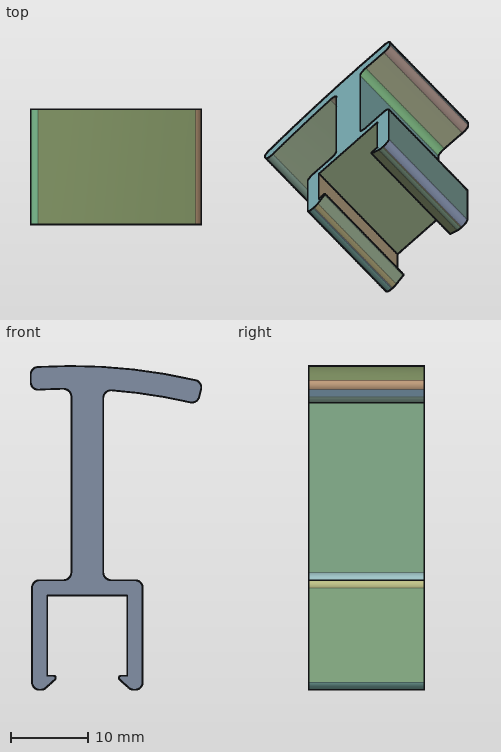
import cadquery as cq
import math

height = 42.0
depth = 15.0
head_left = -7.35
head_right = head_left + 22.12
corner_radius = 1.0

channel_width = 14.35
channel_height = 14.25
wall = 2.0
lip_top = 1.85
lip_reach = 1.55
lip_slope = math.radians(42)
lip_tip_radius = 0.3

stem_width = 4.15
head_thickness = 3.0
head_radius = 71.35
head_apex_x = -2.1

inner_radius = head_radius - head_thickness
head_center_z = height - head_radius


def arc_point(radius, angle):
    """Point on a head arc, with the angle measured from +Z toward +X."""
    return (head_apex_x + radius * math.sin(angle), head_center_z + radius * math.cos(angle))


def extrude(outline):
    """Extrude a closed XZ outline symmetrically about Y = 0."""
    return outline.close().extrude(depth / 2, both=True)


def make_channel():
    half = channel_width / 2
    inner = half - wall
    tip_x = inner - lip_reach
    ramp_foot_x = tip_x + lip_top / math.tan(lip_slope)
    roof_z = channel_height - wall
    right_side = [
        (inner, roof_z),
        (inner, lip_top),
        (tip_x, lip_top),
        (ramp_foot_x, 0),
        (half, 0),
        (half, channel_height),
    ]
    left_side = [(-x, z) for x, z in reversed(right_side)]
    channel = extrude(cq.Workplane("XZ").polyline(right_side + left_side))
    for side in (-1, 1):
        channel = round_edges(channel, [(side * tip_x, lip_top)], lip_tip_radius)
        channel = round_edges(
            channel,
            [(side * ramp_foot_x, 0), (side * half, 0), (side * half, channel_height)],
            corner_radius,
        )
    return channel


def round_edges(body, corners, radius):
    """Round the Y-parallel edges that pass through the given XZ corners."""
    for x, z in corners:
        body = body.edges(cq.selectors.NearestToPointSelector((x, 0, z))).fillet(radius)
    return body


def make_head():
    corner_center_radius = head_radius - corner_radius
    corner_center_angle = math.asin((head_right - corner_radius - head_apex_x) / corner_center_radius)
    end_angle = corner_center_angle + math.asin(corner_radius / corner_center_radius)

    left_offset = head_left - head_apex_x
    outer_left = arc_point(head_radius, math.asin(left_offset / head_radius))
    inner_left = arc_point(inner_radius, math.asin(left_offset / inner_radius))
    outer_right = arc_point(head_radius, end_angle)
    inner_right = arc_point(inner_radius, end_angle)
    outline = (
        cq.Workplane("XZ")
        .moveTo(*outer_left)
        .threePointArc(arc_point(head_radius, 0), outer_right)
        .lineTo(*inner_right)
        .threePointArc(arc_point(inner_radius, 0), inner_left)
    )
    return round_edges(
        extrude(outline), [outer_left, outer_right, inner_right, inner_left], corner_radius
    )


def make_stem():
    bottom = channel_height - wall / 2
    top = height - head_thickness / 2
    return (
        cq.Workplane("XY", origin=(0, 0, bottom))
        .rect(stem_width, depth)
        .extrude(top - bottom)
    )


def stem_corners():
    """XZ corners where the stem sides meet the channel and the head."""
    corners = []
    for x in (-stem_width / 2, stem_width / 2):
        head_angle = math.asin((x - head_apex_x) / inner_radius)
        corners.append((x, channel_height))
        corners.append(arc_point(inner_radius, head_angle))
    return corners


body = make_channel().union(make_stem()).union(make_head())
result = round_edges(body, stem_corners(), corner_radius)